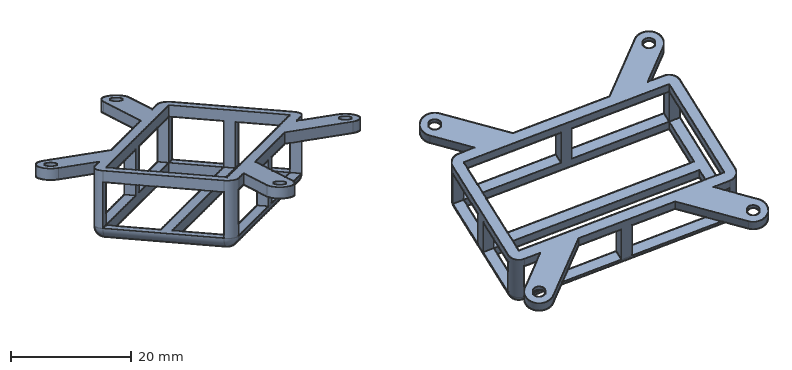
import cadquery as cq
import math

overall_span = 44.7
height = 12.0
basket_width = 24.98
basket_length = 42.1
bar = 2.0
corner_radius = bar

arm_width = 5.0
hole_diameter = 2.2
countersink_diameter = 4.5
countersink_depth = 1.15
hole_offset = (overall_span - arm_width) / 2

inner_width = basket_width - 2 * bar
inner_length = basket_length - 2 * bar
window_height = height - 2 * bar
window_center_z = -height / 2


def centered_box(x_size, y_size, z_size, z_center):
    return cq.Workplane("XY").box(x_size, y_size, z_size).translate((0, 0, z_center))


def make_basket():
    """Open rectangular cage with rounded outer edges and mid posts in the long sides and rear end."""
    block = centered_box(basket_width, basket_length, height, -height / 2)
    block = block.edges("|Z").fillet(corner_radius)
    block = block.faces("<Z").edges().fillet(corner_radius)

    cavity = centered_box(inner_width, inner_length, height, -height / 2)
    end_windows = centered_box(inner_width, basket_length, window_height, window_center_z)
    side_windows = centered_box(basket_width, inner_length, window_height, window_center_z)

    rear_post = centered_box(bar, bar, window_height, window_center_z)
    rear_post = rear_post.translate((0, (basket_length - bar) / 2, 0))
    side_posts = centered_box(basket_width, bar, window_height, window_center_z)
    posts = side_posts.cut(cavity).union(rear_post)

    floor_bar = centered_box(bar, inner_length, bar, bar / 2 - height)
    frame = block.cut(cavity).cut(end_windows).cut(side_windows)
    return frame.union(posts).union(floor_bar)


def make_arm(x_sign, y_sign):
    """Diagonal arm with a round end, running from its hole to the basket wall."""
    center_x = x_sign * hole_offset
    center_y = y_sign * hole_offset
    reach = hole_offset - inner_width / 2
    root_x = center_x - x_sign * reach
    root_y = center_y - y_sign * reach
    slot_angle = 45 * x_sign * y_sign
    arm = (
        cq.Workplane("XY")
        .center((center_x + root_x) / 2, (center_y + root_y) / 2)
        .slot2D(reach * math.sqrt(2) + arm_width, arm_width, slot_angle)
        .extrude(-bar)
    )
    opening = centered_box(inner_width, inner_length, height, -height / 2)
    return arm.cut(opening)


def make_hole(x_sign, y_sign):
    """Through hole with a conical countersink opening on the underside of the arm."""
    underside = cq.Workplane("XY").workplane(offset=-bar)
    hole = underside.circle(hole_diameter / 2).extrude(bar)
    countersink = (
        underside.circle(countersink_diameter / 2)
        .workplane(offset=countersink_depth)
        .circle(hole_diameter / 2)
        .loft()
    )
    return hole.union(countersink).translate((x_sign * hole_offset, y_sign * hole_offset, 0))


result = make_basket()
for x_sign in (-1, 1):
    for y_sign in (-1, 1):
        result = result.union(make_arm(x_sign, y_sign))
        result = result.cut(make_hole(x_sign, y_sign))